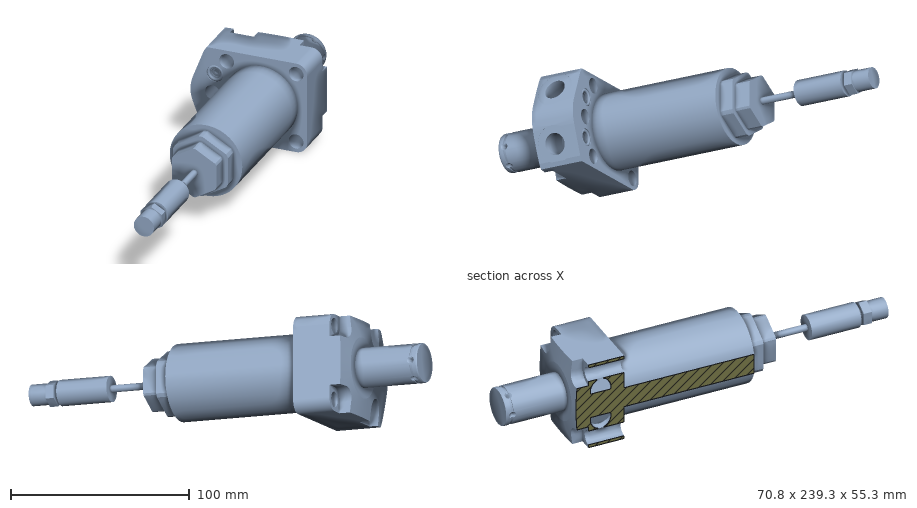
import cadquery as cq
import math


OVERALL_LENGTH = 239.3

BLOCK_HEIGHT = 55.3
BLOCK_HALF_HEIGHT = BLOCK_HEIGHT / 2
BLOCK_RIGHT = 27.8
BLOCK_NOSE = 43.0
BLOCK_TOP_LEFT = 33.3
CORNER_RADIUS = 6.7
NOSE_HALF_HEIGHT = 7.7
PORT_FACE_TOP = 25.0
PORT_FACE_TILT = math.radians(21)

BLOCK_DEPTH = 30.6
REAR_FLAT_RADIUS = 17.2
REAR_CONE_DROP = 3.8

BOLT_OFFSET = 21.0
BOLT_DIAMETER = 8.9
BOLT_SEAT_WIDTH = 14.4
BOLT_SEAT_Y = 22.3
CENTER_HOLE_X = -29.7
PORT_DIAMETER = 12.5
PORT_DEPTH = 19.1
PORT_Y = 14.5
SPOT_FACE_DIAMETER = 21.5
SPOT_FACE_DEPTH = 0.12

SCREW_X = -28.2
SCREW_Z = 12.0
SCREW_RECESS_RADIUS = 5.0
SCREW_BORE_RADIUS = 3.3
SCREW_STEP_RADIUS = 2.9
SCREW_SOCKET_RADIUS = 1.5
SCREW_RIM_DEPTH = 0.7
SCREW_RIM_CREST = 0.2
SCREW_BORE_DEPTH = 2.0
SCREW_STEP_DEPTH = 2.9
SCREW_SOCKET_DEPTH = 4.3

BODY_DIAMETER = 44.0
BODY_END = 80.6
COLLAR_FLATS = 33.3
COLLAR_DIAMETER = 37.0
COLLAR_END = 88.5
CAP_FLATS = 26.8
CAP_DIAMETER = 30.1
CAP_END = 97.9
ROD_DIAMETER = 4.0
SLEEVE_DIAMETER = 14.8
SLEEVE_START = 123.0
SLEEVE_END = 153.5
NECK_DIAMETER = 8.1
NUT_FLATS = 13.0
NUT_START = 155.5
NUT_END = 160.5
TIP_DIAMETER = 12.2
TIP_END = 171.0

STUB_DIAMETER = 22.5
STUB_END = OVERALL_LENGTH - TIP_END
STUB_CHAMFER_LENGTH = 0.7
STUB_CHAMFER_HEIGHT = 0.2
GROOVE_SETBACK = 3.8
GROOVE_WIDTH = 1.5
GROOVE_DEPTH = 0.5
DIMPLE_COUNT = 6
DIMPLE_RADIUS = 2.2
DIMPLE_DEPTH = 2.2


def plane_in_front(distance):
    """XZ workplane the given distance in front of the block face."""
    return cq.Workplane("XZ", origin=(0, -distance, 0))


def cylinder(diameter, start, end):
    return plane_in_front(start).circle(diameter / 2).extrude(end - start)


def hexagon(across_flats, start, end):
    """Hexagonal bar with two flats facing +X and -X."""
    corner_diameter = across_flats / math.cos(math.pi / 6)
    bar = plane_in_front(start).polygon(6, corner_diameter).extrude(end - start)
    return bar.rotate((0, 0, 0), (0, 1, 0), 30)


def turned_hexagon(across_flats, diameter, start, end):
    """Hexagonal bar with its corners turned down to a diameter."""
    return hexagon(across_flats, start, end).intersect(cylinder(diameter, start, end))


def revolve_about_y(profile):
    """Solid of revolution from (radius, y) points."""
    return cq.Workplane("XY").polyline(profile).close().revolve(360, (0, 0), (0, 1))


nose_radius = NOSE_HALF_HEIGHT / math.sin(PORT_FACE_TILT)
port_face_left = -BLOCK_NOSE + nose_radius * (1 - math.cos(PORT_FACE_TILT))
port_face_right = port_face_left + (PORT_FACE_TOP - NOSE_HALF_HEIGHT) * math.tan(PORT_FACE_TILT)


def block_blank():
    outline = (
        cq.Workplane("XZ")
        .moveTo(-BLOCK_TOP_LEFT, BLOCK_HALF_HEIGHT)
        .lineTo(BLOCK_RIGHT, BLOCK_HALF_HEIGHT)
        .lineTo(BLOCK_RIGHT, -BLOCK_HALF_HEIGHT)
        .lineTo(-BLOCK_TOP_LEFT, -BLOCK_HALF_HEIGHT)
        .lineTo(port_face_right, -PORT_FACE_TOP)
        .lineTo(port_face_left, -NOSE_HALF_HEIGHT)
        .threePointArc((-BLOCK_NOSE, 0), (port_face_left, NOSE_HALF_HEIGHT))
        .lineTo(port_face_right, PORT_FACE_TOP)
        .close()
    )
    blank = outline.extrude(-BLOCK_DEPTH).edges("|Y and >X").fillet(CORNER_RADIUS)

    cone_radius = 2 * BLOCK_NOSE
    cone_slope = REAR_CONE_DROP / (BLOCK_NOSE - REAR_FLAT_RADIUS)
    cone_edge_y = BLOCK_DEPTH - cone_slope * (cone_radius - REAR_FLAT_RADIUS)
    envelope = revolve_about_y([
        (0, 0),
        (cone_radius, 0),
        (cone_radius, cone_edge_y),
        (REAR_FLAT_RADIUS, BLOCK_DEPTH),
        (0, BLOCK_DEPTH),
    ])
    return blank.intersect(envelope)


def bolt_seat(side_x, side_z):
    """Rear pocket around a bolt hole, open toward the top or bottom edge.

    The right-hand pockets are open toward the right side as well.
    """
    x = side_x * BOLT_OFFSET
    z = side_z * BOLT_OFFSET
    depth = BLOCK_DEPTH - BOLT_SEAT_Y
    floor = plane_in_front(-BOLT_SEAT_Y)
    seat = floor.center(x, z).circle(BOLT_SEAT_WIDTH / 2).extrude(-depth)
    slot = (
        floor.center(x, z + side_z * BOLT_SEAT_WIDTH / 2)
        .rect(BOLT_SEAT_WIDTH, BOLT_SEAT_WIDTH)
        .extrude(-depth)
    )
    seat = seat.union(slot)
    if side_x > 0:
        side_slot = (
            floor.center(x + BOLT_SEAT_WIDTH / 2, z)
            .rect(BOLT_SEAT_WIDTH, BOLT_SEAT_WIDTH)
            .extrude(-depth)
        )
        seat = seat.union(side_slot)
    return seat


def port(side_z):
    """Blind port with a shallow spot face, square to a sloped face."""
    plane = cq.Plane(
        origin=((port_face_left + port_face_right) / 2, PORT_Y,
                side_z * (NOSE_HALF_HEIGHT + PORT_FACE_TOP) / 2),
        xDir=(0, 1, 0),
        normal=(-math.cos(PORT_FACE_TILT), 0, side_z * math.sin(PORT_FACE_TILT)),
    )
    bore = cq.Workplane(plane).circle(PORT_DIAMETER / 2).extrude(-PORT_DEPTH)
    spot_face = cq.Workplane(plane).circle(SPOT_FACE_DIAMETER / 2).extrude(-SPOT_FACE_DEPTH)
    return bore.union(spot_face)


def screw_recess(side_z):
    """Recess that leaves a rounded rim around a stepped socket."""
    crest_radius = (SCREW_RECESS_RADIUS + SCREW_BORE_RADIUS) / 2
    profile = (
        cq.Workplane("XY")
        .lineTo(SCREW_RECESS_RADIUS, 0)
        .lineTo(SCREW_RECESS_RADIUS, SCREW_RIM_DEPTH)
        .threePointArc((crest_radius, SCREW_RIM_CREST), (SCREW_BORE_RADIUS, SCREW_RIM_DEPTH))
        .lineTo(SCREW_BORE_RADIUS, SCREW_BORE_DEPTH)
        .lineTo(SCREW_STEP_RADIUS, SCREW_BORE_DEPTH)
        .lineTo(SCREW_STEP_RADIUS, SCREW_STEP_DEPTH)
        .lineTo(SCREW_SOCKET_RADIUS, SCREW_STEP_DEPTH)
        .lineTo(SCREW_SOCKET_RADIUS, SCREW_SOCKET_DEPTH)
        .lineTo(0, SCREW_SOCKET_DEPTH)
        .close()
    )
    recess = profile.revolve(360, (0, 0), (0, 1))
    return recess.translate((SCREW_X, 0, side_z * SCREW_Z))


def mounting_block():
    block = block_blank()
    hole_places = [(CENTER_HOLE_X, 0)]
    for side_z in (-1, 1):
        for side_x in (-1, 1):
            block = block.cut(bolt_seat(side_x, side_z))
            hole_places.append((side_x * BOLT_OFFSET, side_z * BOLT_OFFSET))
        block = block.cut(port(side_z)).cut(screw_recess(side_z))
    holes = (
        cq.Workplane("XZ")
        .pushPoints(hole_places)
        .circle(BOLT_DIAMETER / 2)
        .extrude(-BLOCK_DEPTH)
    )
    return block.cut(holes)


def rear_stub():
    radius = STUB_DIAMETER / 2
    groove_y = STUB_END - GROOVE_SETBACK
    groove_floor = radius - GROOVE_DEPTH
    stub = revolve_about_y([
        (0, 0),
        (radius, 0),
        (radius, groove_y - GROOVE_WIDTH / 2),
        (groove_floor, groove_y - GROOVE_WIDTH / 2),
        (groove_floor, groove_y + GROOVE_WIDTH / 2),
        (radius, groove_y + GROOVE_WIDTH / 2),
        (radius, STUB_END - STUB_CHAMFER_LENGTH),
        (radius - STUB_CHAMFER_HEIGHT, STUB_END),
        (0, STUB_END),
    ])
    dimple = cq.Workplane(cq.Solid.makeCone(
        DIMPLE_RADIUS, 0, DIMPLE_DEPTH,
        pnt=cq.Vector(radius, groove_y, 0), dir=cq.Vector(-1, 0, 0)))
    for index in range(DIMPLE_COUNT):
        stub = stub.cut(dimple.rotate((0, 0, 0), (0, 1, 0), index * 360 / DIMPLE_COUNT))
    return stub


def body_and_plunger():
    sections = [
        turned_hexagon(COLLAR_FLATS, COLLAR_DIAMETER, BODY_END, COLLAR_END),
        turned_hexagon(CAP_FLATS, CAP_DIAMETER, COLLAR_END, CAP_END),
        cylinder(ROD_DIAMETER, CAP_END, SLEEVE_START),
        cylinder(SLEEVE_DIAMETER, SLEEVE_START, SLEEVE_END),
        cylinder(NECK_DIAMETER, SLEEVE_END, NUT_START),
        hexagon(NUT_FLATS, NUT_START, NUT_END),
        cylinder(TIP_DIAMETER, NUT_END, TIP_END),
    ]
    shape = cylinder(BODY_DIAMETER, 0, BODY_END)
    for section in sections:
        shape = shape.union(section)
    return shape


result = mounting_block().union(rear_stub()).union(body_and_plunger())